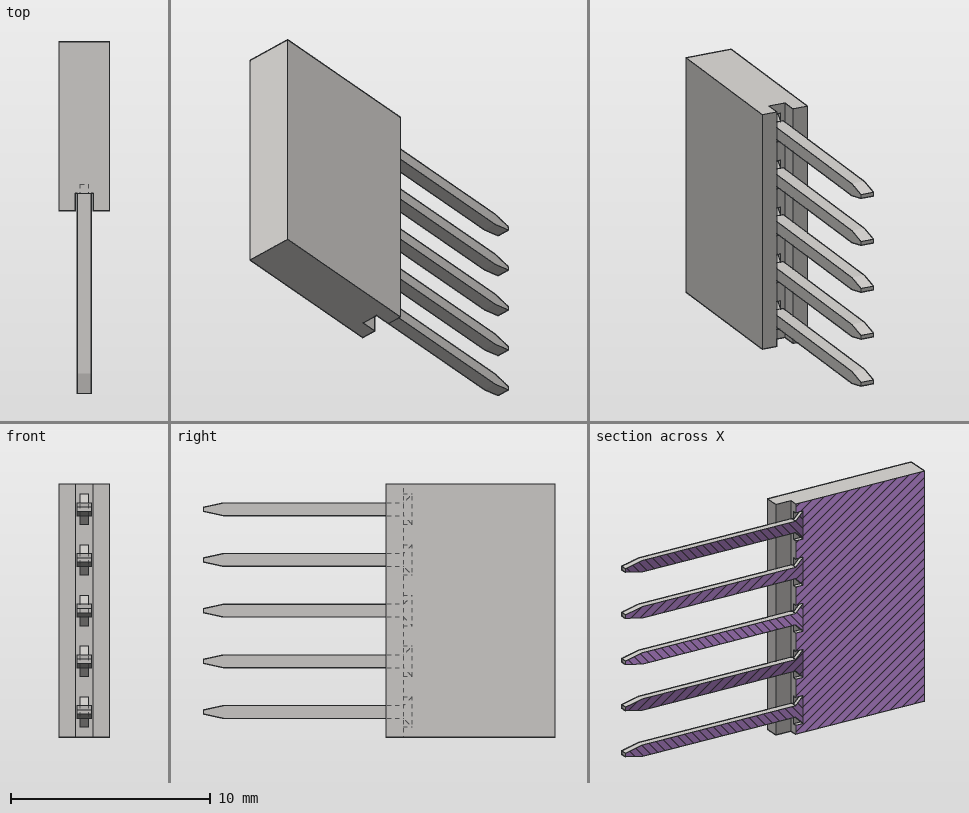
import cadquery as cq

pin_count = 5
pin_pitch = 2.54

overall_length = 17.64

housing_width = pin_pitch
housing_length = 8.48
housing_height = pin_count * pin_pitch
slot_width = 0.9
slot_depth = 0.88

pin_width = 0.7
pin_height = 0.65
tip_length = 1.0
tip_height = 0.21

root_width = 0.4
root_height = 1.52
root_depth = (root_height - pin_height) / 2

slot_floor_y = slot_depth
root_end_y = slot_floor_y + root_depth
pin_tip_y = housing_length - overall_length
taper_start_y = pin_tip_y + tip_length

pin_levels = [(index - (pin_count - 1) / 2) * pin_pitch for index in range(pin_count)]


def make_block(width, length, height):
    """Box centred on X and Z, running from zero toward +Y."""
    return cq.Workplane("XY").box(width, length, height, centered=(True, False, True))


def make_housing():
    body = make_block(housing_width, housing_length, housing_height)
    body = body.cut(make_block(slot_width, slot_depth, housing_height))
    pocket = make_block(root_width, root_depth, root_height)
    for level in pin_levels:
        body = body.cut(pocket.translate((0, slot_floor_y, level)))
    return body.solids()


def extrude_profile(upper_profile, width):
    """Mirror a (y, z) profile about the pin axis and extrude it evenly along X."""
    lower_profile = [(y, -z) for y, z in reversed(upper_profile)]
    outline = cq.Workplane("YZ").polyline(upper_profile + lower_profile).close()
    return outline.extrude(width / 2, both=True)


def make_pin(level):
    shaft = extrude_profile(
        [
            (slot_floor_y, pin_height / 2),
            (taper_start_y, pin_height / 2),
            (pin_tip_y, tip_height / 2),
        ],
        pin_width,
    )
    root = extrude_profile(
        [
            (root_end_y, root_height / 2),
            (slot_floor_y, pin_height / 2),
        ],
        root_width,
    )
    return shaft.union(root).translate((0, 0, level)).solids()


housing = make_housing()
pins = [make_pin(level) for level in pin_levels]

result = cq.Compound.makeCompound([housing.val(), *[pin.val() for pin in pins]])